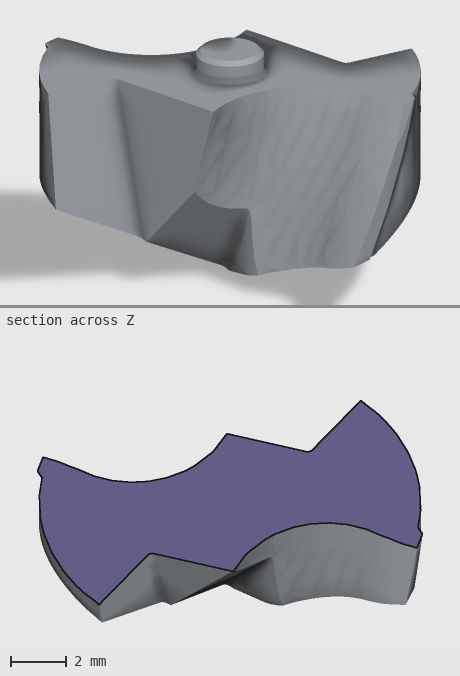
import cadquery as cq
import math


LAND_RADIUS = 7.1
BACK_RADIUS = 6.89
HEEL_RADIUS = 6.80
POINT_DEPTH = 7.72
HELIX_ANGLE = 30.0
GRINDING_STOCK = 0.2
BLANK_DEPTH = POINT_DEPTH + GRINDING_STOCK
TWIST_RATE = math.degrees(math.tan(math.radians(HELIX_ANGLE)) / LAND_RADIUS)
REACH = 40.0

PEG_RADIUS = 1.23
PEG_HEIGHT = 0.84
PEG_CHAMFER = 0.16
PEG_ROOT_FILLET = 0.18

LAND_END_ANGLE = 200.7
LAND_STEP_ANGLE = 202.8
FLUTE_WALL_CENTRE = (-5.85, 2.05)
FLUTE_WALL_RADIUS = 4.0
FLUTE_SEAM = (-2.21, 0.40)
FLUTE_MID = (-3.18, -0.85)
FLUTE_LIP = (-5.48, -1.61)
LIP_MID = (-6.10, -1.66)
LIP_END_ANGLE = 194.7

LAND_FLAT_X = 6.69
LAND_FLAT_TILT = 14.0

FLAT_Y = 3.24
FLAT_DRAFT = 1.2
WALL_POINTS = ((2.68, 3.20, 0.0), (3.59, 5.80, 0.0), (2.95, 6.165, -4.25))
NOTCH_FILLET = 0.2

POINT_SLOPE = -0.352
PRIMARY_SLOPE = -0.07
SECONDARY_SLOPE = -0.389

GASH_SLOPE_X = 1.098
GASH_SLOPE_Y = -0.985
GASH_FILLET = 0.3
RAKE_OFFSET = -0.2
RAKE_SLOPE = -0.5
RAKE_LINE_END_X = 1.57
RAKE_ARC_END = (2.60, -1.16)


def polar(radius, angle):
    return (radius * math.cos(math.radians(angle)), radius * math.sin(math.radians(angle)))


def opposite(solid):
    """The same solid half a turn round the drill axis."""
    return solid.rotate((0, 0, 0), (0, 0, 1), 180)


def block(origin, normal):
    """A large block whose face passes through origin, filling the side the normal points to."""
    plane = cq.Plane(origin=origin, normal=normal)
    return cq.Workplane(plane).rect(2 * REACH, 2 * REACH).extrude(REACH)


def below_slope(slope_x, slope_y):
    """Everything below the sloping plane through the point apex."""
    return block((0, 0, -POINT_DEPTH), (slope_x, slope_y, -1))


def flute_rim_angle():
    """Angle of the point where the flute wall arc meets the heel radius."""
    centre_distance = math.hypot(*FLUTE_WALL_CENTRE)
    centre_angle = math.degrees(math.atan2(FLUTE_WALL_CENTRE[1], FLUTE_WALL_CENTRE[0]))
    cosine = (HEEL_RADIUS**2 + centre_distance**2 - FLUTE_WALL_RADIUS**2) / (
        2 * HEEL_RADIUS * centre_distance
    )
    return centre_angle - math.degrees(math.acos(cosine))


def add_wing(section, rim_angle, side):
    """Continue the section round one flute and wing; side is 1 for the -X wing, -1 for the +X one."""
    def at(point):
        return (side * point[0], side * point[1])

    wall_crest = (FLUTE_WALL_CENTRE[0] + FLUTE_WALL_RADIUS, FLUTE_WALL_CENTRE[1])
    land_mid = polar(LAND_RADIUS, (LIP_END_ANGLE + LAND_END_ANGLE) / 2)
    heel_angle = rim_angle + 180
    relief_mid = polar((BACK_RADIUS + HEEL_RADIUS) / 2, (LAND_STEP_ANGLE + heel_angle) / 2)
    return (
        section.threePointArc(at(wall_crest), at(FLUTE_SEAM))
        .threePointArc(at(FLUTE_MID), at(FLUTE_LIP))
        .threePointArc(at(LIP_MID), at(polar(LAND_RADIUS, LIP_END_ANGLE)))
        .threePointArc(at(land_mid), at(polar(LAND_RADIUS, LAND_END_ANGLE)))
        .lineTo(*at(polar(BACK_RADIUS, LAND_STEP_ANGLE)))
        .threePointArc(at(relief_mid), at(polar(HEEL_RADIUS, heel_angle)))
    )


def twisted_blank():
    """The two-wing cross-section, twisted down from the seat."""
    rim_angle = flute_rim_angle()
    section = cq.Workplane("XY").moveTo(*polar(HEEL_RADIUS, rim_angle))
    for side in (1, -1):
        section = add_wing(section, rim_angle, side)
    twist = TWIST_RATE * BLANK_DEPTH
    blank = section.close().twistExtrude(BLANK_DEPTH, twist)
    return blank.translate((0, 0, -BLANK_DEPTH)).rotate((0, 0, 0), (0, 0, 1), -twist)


def land_flat():
    """Air outside the tilted flat on the upper end of the +X land."""
    tilt = math.radians(LAND_FLAT_TILT)
    return block((LAND_FLAT_X, 0, 0), (math.cos(tilt), 0, math.sin(tilt)))


def driving_notch():
    """Air in front of the drafted flat and beside the slanted wall."""
    draft = math.radians(FLAT_DRAFT)
    flat_side = block((0, FLAT_Y, 0), (0, math.cos(draft), -math.sin(draft)))
    inner, outer, lower = (cq.Vector(*point) for point in WALL_POINTS)
    wall_normal = (outer - inner).cross(lower - inner)
    wedge = flat_side.intersect(block(inner.toTuple(), wall_normal.toTuple()))
    slab = cq.Workplane("XY").box(REACH, REACH, REACH)
    inner_corner = cq.selectors.NearestToPointSelector(WALL_POINTS[0])
    return wedge.intersect(slab).edges(inner_corner).fillet(NOTCH_FILLET)


def gash():
    """Air below the web face and in front of the rake face."""
    far = REACH / 4
    line_end = (RAKE_LINE_END_X, RAKE_OFFSET + RAKE_SLOPE * RAKE_LINE_END_X)
    front = (
        cq.Workplane("XY", origin=(0, 0, -2 * far))
        .moveTo(-far, RAKE_OFFSET - RAKE_SLOPE * far)
        .lineTo(*line_end)
        .tangentArcPoint(RAKE_ARC_END, relative=False)
        .lineTo(RAKE_ARC_END[0], -far)
        .lineTo(-far, -far)
        .close()
        .extrude(3 * far)
    )
    wedge = front.intersect(below_slope(GASH_SLOPE_X, GASH_SLOPE_Y))
    return wedge.edges("%ELLIPSE").fillet(GASH_FILLET)


def locating_peg():
    """Chamfered peg with a root fillet, sunk into the body so that the two join."""
    rim = PEG_RADIUS - PEG_CHAMFER
    root = PEG_RADIUS + PEG_ROOT_FILLET
    return (
        cq.Workplane("XZ")
        .moveTo(0, -PEG_HEIGHT)
        .lineTo(root, -PEG_HEIGHT)
        .lineTo(root, 0)
        .radiusArc((PEG_RADIUS, PEG_ROOT_FILLET), PEG_ROOT_FILLET)
        .lineTo(PEG_RADIUS, PEG_HEIGHT - PEG_CHAMFER)
        .lineTo(rim, PEG_HEIGHT)
        .lineTo(0, PEG_HEIGHT)
        .close()
        .revolve(360, (0, 0, 0), (0, 1, 0))
    )


cutters = (
    land_flat(),
    driving_notch(),
    below_slope(POINT_SLOPE, PRIMARY_SLOPE),
    below_slope(POINT_SLOPE, SECONDARY_SLOPE),
    gash(),
)
body = twisted_blank()
for cutter in cutters:
    body = body.cut(cutter).cut(opposite(cutter))
result = body.union(locating_peg())